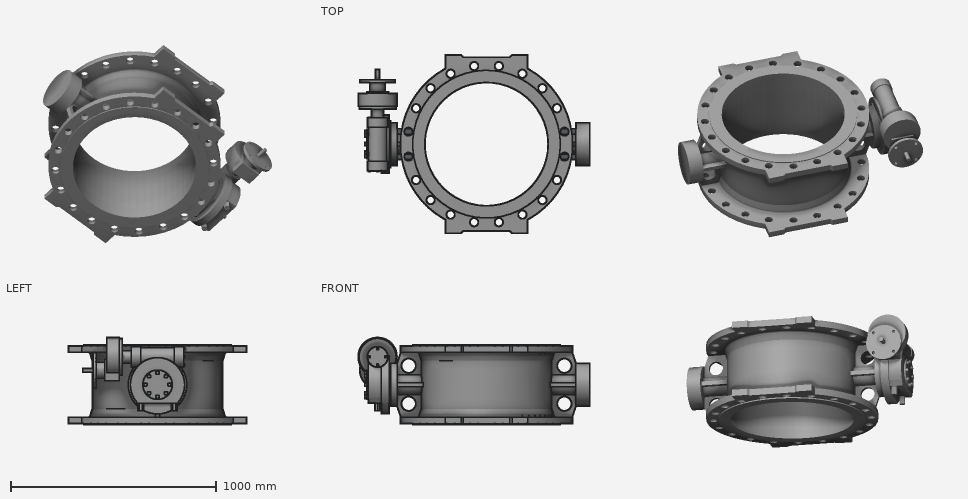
import cadquery as cq
import math

bore_d = 600.0
body_d = 637.0
flange_d = 840.0
face_d = 720.0
flange_top = 190.0
flange_thick = 32.0
flange_bottom = flange_top - flange_thick
face_height = 6.0
face_top = flange_top + face_height
flare_start_z = 118.0
flare_end_z = 149.0
flare_end_r = 329.0
flare_fillet = flange_bottom - flare_end_z

bolt_count = 20
bolt_circle_r = 385.0
bolt_hole_d = 40.0

lug_half_x = 200.0
lug_y = 435.0
lug_recess = 11.0
recess_half_x = 113.0

web_thick = 20.0
web_top_x = 418.0
trunnion_x = 436.0
cap_d = 210.0
web_hole_d = 69.0
web_hole_x = 380.0
web_hole_z = 93.0
rib_half_y = 76.0
boss_d = 100.0
boss_fillet = 8.0
right_cap_length = 68.0
left_cap_length = 32.0

spacer_thick = 7.0
spacer_d = 230.0
spacer_flat_z = 93.0
rim_d = 285.0
rim_thick = 38.0
case_d = 264.0
case_thick = 63.0
case_flat_z = -89.0
case_flat_half_y = 99.0
case_side_z = -63.0
cover_d = 143.0
cover_thick = 8.0
cover_bolt_d = 17.0
cover_bolt_length = 10.0
cover_bolt_count = 8
cover_bolt_circle_r = 59.0
foot_bolt_corners = 29.0
foot_bolt_length = 38.0
foot_bolt_y = 82.0

worm_x = -531.0
worm_z = 136.0
worm_half_length = 129.0
worm_collar_length = 46.0
worm_collar_d = 100.0
worm_barrel_d = 90.0
worm_screw_d = 10.0
worm_screw_length = 5.0
worm_screw_circle_r = 40.0
worm_screw_count = 4
input_shaft_d = 60.0
drum_d = 190.0
drum_start_y = 185.0
drum_length = 62.0
drum_rim_d = 181.0
drum_rim_length = 15.0
drive_z = 70.0
drive_box_width = 107.0
drive_box_length = 71.0
drive_box_bottom = 19.0
drive_box_top = 123.0
neck_d = 77.0
neck_end_y = 299.0
drive_flange_d = 174.0
drive_flange_thick = 15.0
drive_hole_d = 16.0
drive_hole_offset = 51.0
drive_pin_d = 20.0
drive_pin_length = 51.0


def x_cylinder(diameter, x_start, x_end):
    """Cylinder about the trunnion axis."""
    return cq.Workplane("YZ", origin=(x_start, 0, 0)).circle(diameter / 2).extrude(x_end - x_start)


def y_cylinder(diameter, y_start, y_end, z):
    """Cylinder along Y in the plane of the worm."""
    plane = cq.Workplane("XZ", origin=(worm_x, y_start, z))
    return plane.circle(diameter / 2).extrude(y_start - y_end)


def make_barrel():
    """Tube that flares out into both flanges."""
    flare_r = flare_end_r + flare_fillet
    bend = flare_fillet * (1 - math.sqrt(0.5))
    mid_r = flare_end_r + bend
    mid_z = flange_bottom - bend
    return (
        cq.Workplane("XZ")
        .moveTo(0, -flange_bottom)
        .lineTo(flare_r, -flange_bottom)
        .threePointArc((mid_r, -mid_z), (flare_end_r, -flare_end_z))
        .lineTo(body_d / 2, -flare_start_z)
        .lineTo(body_d / 2, flare_start_z)
        .lineTo(flare_end_r, flare_end_z)
        .threePointArc((mid_r, mid_z), (flare_r, flange_bottom))
        .lineTo(0, flange_bottom)
        .close()
        .revolve(360, (0, 0, 0), (0, 1, 0))
    )


def make_flange():
    """Upper flange with lugs, raised face and bolt holes."""
    base = cq.Workplane("XY", origin=(0, 0, flange_bottom))
    flange = base.circle(flange_d / 2).extrude(flange_thick)
    recess_y = lug_y - lug_recess
    corner_x = recess_half_x + lug_recess
    outline = [
        (lug_half_x, lug_y),
        (corner_x, lug_y),
        (recess_half_x, recess_y),
        (-recess_half_x, recess_y),
        (-corner_x, lug_y),
        (-lug_half_x, lug_y),
    ]
    opposite = [(-x, -y) for x, y in outline]
    flange = flange.union(base.polyline(outline + opposite).close().extrude(flange_thick))
    flange = flange.union(base.circle(face_d / 2).extrude(flange_thick + face_height))
    holes = (
        base.polarArray(bolt_circle_r, 180 / bolt_count, 360, bolt_count)
        .circle(bolt_hole_d / 2)
        .extrude(flange_thick)
    )
    return flange.cut(holes)


def make_trunnion():
    """Right-hand trunnion: drilled web, cross rib and shaft boss."""
    cap_r = cap_d / 2
    web = (
        cq.Workplane("XZ", origin=(0, web_thick / 2, 0))
        .moveTo(0, -flange_bottom)
        .lineTo(web_top_x, -flange_bottom)
        .lineTo(trunnion_x, -cap_r)
        .lineTo(trunnion_x, cap_r)
        .lineTo(web_top_x, flange_bottom)
        .lineTo(0, flange_bottom)
        .close()
        .extrude(web_thick)
    )
    holes = (
        cq.Workplane("XZ", origin=(0, web_thick / 2, 0))
        .pushPoints([(web_hole_x, web_hole_z), (web_hole_x, -web_hole_z)])
        .circle(web_hole_d / 2)
        .extrude(web_thick)
    )
    rib = cq.Workplane("XY").box(trunnion_x, 2 * rib_half_y, web_thick, centered=(False, True, True))
    boss_r = boss_d / 2
    bend = boss_fillet * (1 - math.sqrt(0.5))
    boss = (
        cq.Workplane("XY")
        .lineTo(0, boss_r)
        .lineTo(trunnion_x - boss_fillet, boss_r)
        .threePointArc((trunnion_x - bend, boss_r + bend), (trunnion_x, boss_r + boss_fillet))
        .lineTo(trunnion_x, 0)
        .close()
        .revolve(360, (0, 0, 0), (1, 0, 0))
    )
    return web.cut(holes).union(rib).union(boss)


def make_valve_body():
    trunnion = make_trunnion()
    flange = make_flange()
    body = make_barrel()
    body = body.union(flange).union(flange.mirror("XY"))
    body = body.union(trunnion).union(trunnion.mirror("YZ"))
    body = body.union(x_cylinder(cap_d, trunnion_x, trunnion_x + right_cap_length))
    bore = cq.Workplane("XY", origin=(0, 0, -face_top)).circle(bore_d / 2).extrude(2 * face_top)
    return body.cut(bore)


def make_gearbox():
    """Worm-wheel case stacked outwards along -X from the trunnion."""
    spacer_x = -trunnion_x - left_cap_length
    rim_x = spacer_x - spacer_thick
    case_x = rim_x - rim_thick
    cover_x = case_x - case_thick
    bolt_x = cover_x - cover_thick

    gearbox = x_cylinder(cap_d, -trunnion_x, spacer_x)
    flats = cq.Workplane("XY", origin=(spacer_x, 0, 0)).box(2 * spacer_thick, spacer_d, 2 * spacer_flat_z)
    gearbox = gearbox.union(x_cylinder(spacer_d, spacer_x, rim_x).intersect(flats))
    gearbox = gearbox.union(x_cylinder(rim_d, rim_x, case_x))

    case_r = case_d / 2
    case_side_y = math.sqrt(case_r**2 - case_side_z**2)
    case = (
        cq.Workplane("YZ", origin=(case_x, 0, 0))
        .moveTo(-case_flat_half_y, case_flat_z)
        .lineTo(-case_side_y, case_side_z)
        .threePointArc((0, case_r), (case_side_y, case_side_z))
        .lineTo(case_flat_half_y, case_flat_z)
        .close()
        .extrude(-case_thick)
    )
    gearbox = gearbox.union(case)
    gearbox = gearbox.union(x_cylinder(cover_d, cover_x, bolt_x))

    cover_bolts = (
        cq.Workplane("YZ", origin=(bolt_x, 0, 0))
        .polarArray(cover_bolt_circle_r, 0, 360, cover_bolt_count)
        .circle(cover_bolt_d / 2)
        .extrude(-cover_bolt_length)
    )
    foot_bolts = (
        cq.Workplane(cq.Plane(origin=(worm_x, 0, case_flat_z), xDir=(0, 1, 0), normal=(0, 0, 1)))
        .pushPoints([(foot_bolt_y, 0), (-foot_bolt_y, 0)])
        .polygon(6, foot_bolt_corners)
        .extrude(-foot_bolt_length)
    )
    return gearbox.union(cover_bolts).union(foot_bolts)


def make_worm_housing():
    collar_y = worm_half_length - worm_collar_length
    housing = y_cylinder(worm_barrel_d, -worm_half_length, worm_half_length, worm_z)
    housing = housing.union(y_cylinder(worm_collar_d, -worm_half_length, -collar_y, worm_z))
    housing = housing.union(y_cylinder(worm_collar_d, collar_y, worm_half_length, worm_z))
    screws = (
        cq.Workplane("XZ", origin=(worm_x, -worm_half_length, worm_z))
        .polarArray(worm_screw_circle_r, 0, 360, worm_screw_count)
        .circle(worm_screw_d / 2)
        .extrude(worm_screw_length)
    )
    return housing.union(screws)


def make_input_drive():
    """Reduction drum on the worm shaft and the offset drive flange behind it."""
    drum_end_y = drum_start_y + drum_length
    box_end_y = drum_start_y + drive_box_length
    flange_end_y = neck_end_y + drive_flange_thick

    drive = y_cylinder(input_shaft_d, worm_half_length, drum_start_y, worm_z)
    drive = drive.union(y_cylinder(drum_rim_d, drum_start_y - drum_rim_length, drum_start_y, worm_z))
    drive = drive.union(y_cylinder(drum_d, drum_start_y, drum_end_y, worm_z))
    box = cq.Workplane("XY", origin=(worm_x, drum_start_y, drive_box_bottom)).box(
        drive_box_width,
        drive_box_length,
        drive_box_top - drive_box_bottom,
        centered=(True, False, False),
    )
    drive = drive.union(box)
    drive = drive.union(y_cylinder(neck_d, box_end_y, neck_end_y, drive_z))

    flange = y_cylinder(drive_flange_d, neck_end_y, flange_end_y, drive_z)
    holes = (
        cq.Workplane("XZ", origin=(worm_x, flange_end_y, drive_z))
        .rect(2 * drive_hole_offset, 2 * drive_hole_offset, forConstruction=True)
        .vertices()
        .circle(drive_hole_d / 2)
        .extrude(drive_flange_thick)
    )
    drive = drive.union(flange.cut(holes))
    return drive.union(y_cylinder(drive_pin_d, flange_end_y, flange_end_y + drive_pin_length, drive_z))


result = make_valve_body().union(make_gearbox()).union(make_worm_housing()).union(make_input_drive())